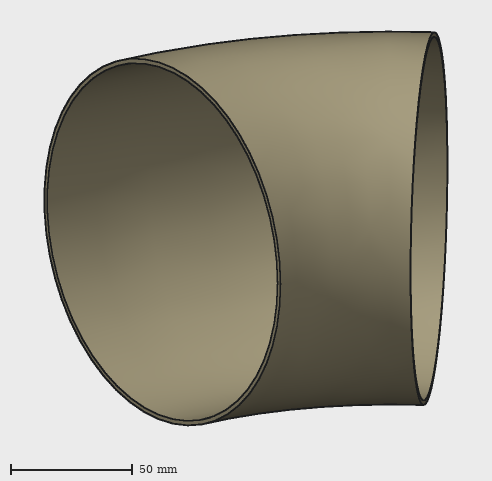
import cadquery as cq
import math

overall_length = 175.4
outer_diameter = 154.0
wall_thickness = 2.0
bend_angle = 45.0

outer_radius = outer_diameter / 2
inner_radius = outer_radius - wall_thickness

bend_cosine = math.cos(math.radians(bend_angle))
bend_radius = (overall_length - outer_radius * (1 + bend_cosine)) / (1 - bend_cosine)


def make_elbow():
    """Sweep the pipe ring, lying in the XZ plane, about a Z axis on its +X side."""
    pipe_ring = cq.Workplane("XZ").circle(outer_radius).circle(inner_radius)
    axis_start = (bend_radius, 0)
    axis_end = (bend_radius, -1)
    return pipe_ring.revolve(bend_angle, axis_start, axis_end)


result = make_elbow()